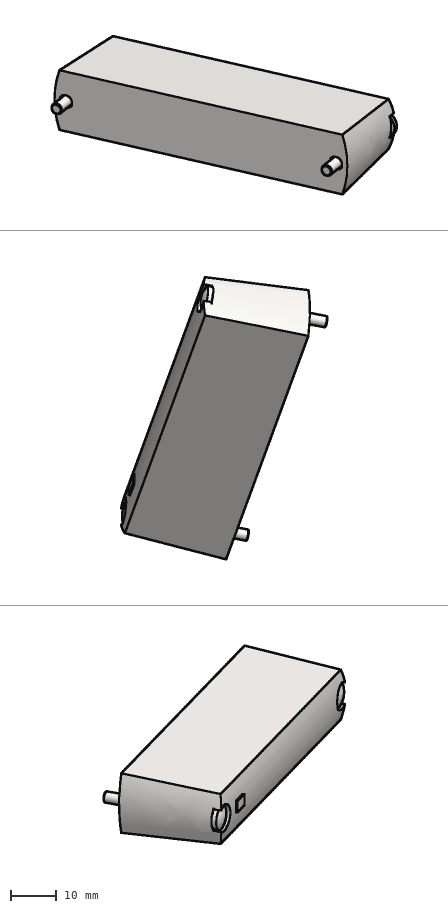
import cadquery as cq
import math

LENGTH = 72.2
HEIGHT = 14.4
DRAFT_DEPTH = 24.2
END_TAPER = 0.95
SIDE_TAPER = 1.2
END_BULGE = 1.2
BACK_CREST = 23.75
BACK_EDGE = 23.0

OVERALL_DEPTH = 28.45
PAD_X = 25.0
PAD_LENGTH = 3.9
PAD_HEIGHT = 2.75

SCREW_SPACING = 66.6
SHANK_DIAMETER = 2.5
SHANK_TIP_DIAMETER = 2.2
SHANK_PROJECTION = 4.4
SHANK_HOLE_DIAMETER = 3.0
HEAD_DIAMETER = 5.6
HEAD_RIM = 1.15
HEAD_DOME = 0.8
SEAT_Y = 21.7
COUNTERBORE_DIAMETER = 6.2

SCREW_X = [-SCREW_SPACING / 2, SCREW_SPACING / 2]
PAD_TOP = OVERALL_DEPTH - SHANK_PROJECTION


def end_section(y, end_inset, side_inset):
    """Closed wire at depth y: flat top and bottom, bulged ends."""
    tip = LENGTH / 2 - end_inset
    corner = tip - END_BULGE
    half_height = HEIGHT / 2 - side_inset
    section = (
        cq.Workplane("XZ", origin=(0, y, 0))
        .moveTo(-corner, -half_height)
        .lineTo(corner, -half_height)
        .threePointArc((tip, 0), (corner, half_height))
        .lineTo(-corner, half_height)
        .threePointArc((-tip, 0), (-corner, -half_height))
        .close()
    )
    return section.val()


def make_shell():
    """Drafted block whose back is crowned from bottom to top."""
    front = end_section(0, 0, 0)
    back = end_section(DRAFT_DEPTH, END_TAPER, SIDE_TAPER)
    blank = cq.Workplane(cq.Solid.makeLoft([front, back], True))
    back_half_height = HEIGHT / 2 - SIDE_TAPER * BACK_EDGE / DRAFT_DEPTH
    rise = BACK_CREST - BACK_EDGE
    radius = (back_half_height**2 + rise**2) / (2 * rise)
    half_span = HEIGHT / 2
    span_y = BACK_CREST - radius + math.sqrt(radius**2 - half_span**2)
    crown = (
        cq.Workplane("YZ")
        .moveTo(0, -half_span)
        .lineTo(span_y, -half_span)
        .threePointArc((BACK_CREST, 0), (span_y, half_span))
        .lineTo(0, half_span)
        .close()
        .extrude(LENGTH / 2, both=True)
    )
    return blank.intersect(crown)


def make_pad():
    """Low rectangular pad on the back face."""
    pad_depth = PAD_TOP - BACK_EDGE
    return cq.Workplane("XY").box(PAD_LENGTH, pad_depth, PAD_HEIGHT).translate(
        (PAD_X, PAD_TOP - pad_depth / 2, 0)
    )


def cylinder_along_y(diameter, x, y_start, y_end):
    """Cylinder at mid height between two depths."""
    return cq.Workplane("XZ", origin=(x, y_start, 0)).circle(diameter / 2).extrude(y_start - y_end)


def make_housing():
    """Shell with its pad and two counterbored screw holes that break out through the ends."""
    body = make_shell().union(make_pad())
    for x in SCREW_X:
        body = body.cut(cylinder_along_y(SHANK_HOLE_DIAMETER, x, 0, SEAT_Y))
        body = body.cut(cylinder_along_y(COUNTERBORE_DIAMETER, x, SEAT_Y, DRAFT_DEPTH))
    return body


def make_head(x):
    """Domed disc that rests on the counterbore floor, revolved about the screw axis."""
    radius = HEAD_DIAMETER / 2
    dome_radius = (radius**2 + HEAD_DOME**2) / (2 * HEAD_DOME)
    mid_radius = radius / 2
    mid_height = HEAD_RIM + HEAD_DOME - dome_radius + math.sqrt(dome_radius**2 - mid_radius**2)
    return (
        cq.Workplane("XY", origin=(x, SEAT_Y, 0))
        .lineTo(radius, 0)
        .lineTo(radius, HEAD_RIM)
        .threePointArc((mid_radius, mid_height), (0, HEAD_RIM + HEAD_DOME))
        .close()
        .revolve(360, (0, 0), (0, 1))
    )


def make_screw(x):
    """Plain shank with a chamfered tip and a domed head."""
    shank = cylinder_along_y(SHANK_DIAMETER, x, -SHANK_PROJECTION, SEAT_Y)
    shank = shank.faces("<Y").chamfer((SHANK_DIAMETER - SHANK_TIP_DIAMETER) / 2)
    return shank.union(make_head(x))


housing = make_housing()
screws = [make_screw(x) for x in SCREW_X]

result = cq.Compound.makeCompound([housing.val(), *[screw.val() for screw in screws]])